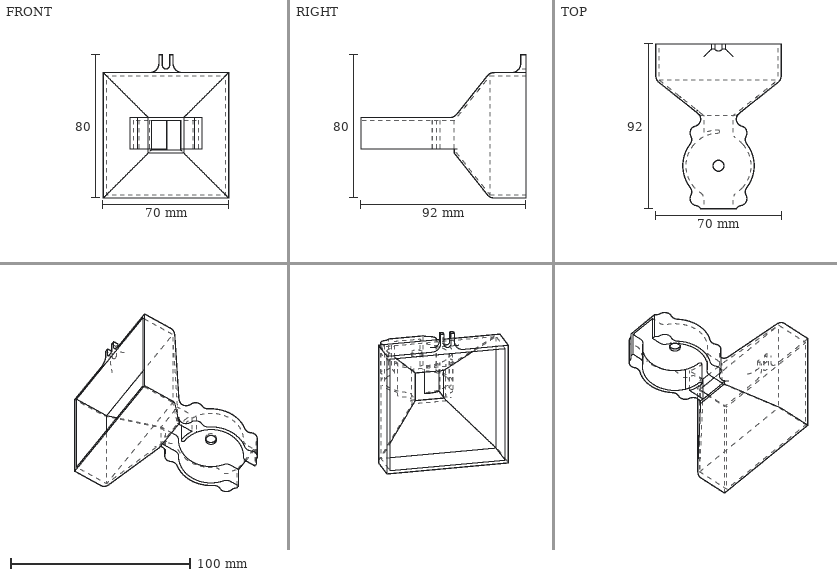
import cadquery as cq
import math

body_width = 70.0
body_depth = 20.15
tip_width = 20.0
tip_y = -40.0
wall = 1.8
fillet_radius = 5.0

front_y = -92.0
housing_y = -68.0
housing_height = 17.8
housing_radius = 20.0
hole_diameter = 6.0
lobe_radius = 4.0
lobe_x = 12.0
lobe_offset_y = 18.3
waist_radius = 4.0
shoulder_radius = 4.0
baffle_end_x = -0.4

lug_height = 10.0
lug_width = 8.0
lug_depth = 3.0
lug_flare = 5.0
lug_slot_width = 4.0
lug_slot_floor = 2.0

body_half = body_width / 2
tip_half = tip_width / 2
tip_inner_half = tip_half - wall
housing_top = tip_half
housing_bottom = housing_top - housing_height
housing_inner_radius = housing_radius - wall

taper_angle = math.atan2(body_half - tip_half, -body_depth - tip_y)
setback = fillet_radius * math.tan(taper_angle / 2)


def point_on(center, radius, angle):
    """Point on a circle at an angle counted from the first axis."""
    return (center[0] + radius * math.cos(angle), center[1] + radius * math.sin(angle))


def angle_of(start, end):
    return math.atan2(end[1] - start[1], end[0] - start[0])


def circle_crossing(center_a, radius_a, center_b, radius_b):
    """Crossing of two circles that lies to the right of the direction from a to b."""
    distance = math.dist(center_a, center_b)
    turn = math.acos((radius_a**2 + distance**2 - radius_b**2) / (2 * radius_a * distance))
    return point_on(center_a, radius_a, angle_of(center_a, center_b) - turn)


def between(start, end, distance):
    """Point at the given distance from start towards end."""
    return point_on(start, distance, angle_of(start, end))


def arc_to(sketch, center, radius, middle_angle, end):
    """Continue the sketch along a circle, past the given angle, to the end point."""
    return sketch.threePointArc(point_on(center, radius, middle_angle), end)


def hood():
    """Square hood: one outline with rounded shoulders, swept along Z and along X."""
    shoulder_y = -body_depth + setback
    shoulder_center = (body_half - fillet_radius, shoulder_y)
    middle_x, middle_y = point_on(shoulder_center, fillet_radius, -taper_angle / 2)
    end_x, end_y = point_on(shoulder_center, fillet_radius, -taper_angle)
    upright = (
        cq.Workplane("XY")
        .moveTo(body_half, 0)
        .lineTo(body_half, shoulder_y)
        .threePointArc((middle_x, middle_y), (end_x, end_y))
        .lineTo(tip_half, tip_y)
        .lineTo(-tip_half, tip_y)
        .lineTo(-end_x, end_y)
        .threePointArc((-middle_x, middle_y), (-body_half, shoulder_y))
        .lineTo(-body_half, 0)
        .close()
        .extrude(body_half, both=True)
    )
    sideways = upright.rotate((0, 0, 0), (0, 1, 0), 90)
    return upright.intersect(sideways)


def hood_cavity():
    inner_width = body_width - 2 * wall
    inner_tip_width = 2 * tip_inner_half
    back_plane = cq.Workplane("XZ")
    straight = back_plane.rect(inner_width, inner_width).extrude(body_depth)
    taper = (
        back_plane.workplane(offset=body_depth)
        .rect(inner_width, inner_width)
        .workplane(offset=-tip_y - body_depth)
        .rect(inner_tip_width, inner_tip_width)
        .loft(ruled=True)
    )
    return straight.union(taper)


neck_fillet_y = tip_y - setback
neck_fillet_center = (tip_half + fillet_radius, neck_fillet_y)
neck_end_angle = math.pi - taper_angle
neck_end = point_on(neck_fillet_center, fillet_radius, neck_end_angle)


def housing_half_plan():
    """Plan of the +X half of the housing, from the front edge to the tapered hood face."""
    axis = (0, housing_y)
    front_lobe = (lobe_x, housing_y - lobe_offset_y)
    back_lobe = (lobe_x, housing_y + lobe_offset_y)

    waist_reach = housing_radius + waist_radius
    lobe_reach = lobe_radius + waist_radius
    back_waist = circle_crossing(axis, waist_reach, back_lobe, lobe_reach)
    front_waist = (back_waist[0], 2 * housing_y - back_waist[1])

    front_corner = (tip_half, front_y)
    shoulder_reach = lobe_radius + shoulder_radius
    front_shoulder = circle_crossing(front_corner, shoulder_radius, front_lobe, shoulder_reach)
    back_shoulder_x = tip_half + shoulder_radius
    back_shoulder_dy = math.sqrt(shoulder_reach**2 - (back_shoulder_x - lobe_x) ** 2)
    back_shoulder = (back_shoulder_x, back_lobe[1] + back_shoulder_dy)

    neck_start = circle_crossing(neck_fillet_center, fillet_radius, back_shoulder, shoulder_radius)
    neck_start_angle = angle_of(neck_fillet_center, neck_start)
    neck_middle_angle = (neck_start_angle % (2 * math.pi) + neck_end_angle) / 2

    plan = cq.Workplane("XY").moveTo(0, front_y).lineTo(*front_corner)
    front_lobe_start = between(front_lobe, front_shoulder, lobe_radius)
    front_shoulder_middle_angle = math.radians(135)
    plan = arc_to(plan, front_shoulder, shoulder_radius, front_shoulder_middle_angle, front_lobe_start)
    plan = arc_to(plan, front_lobe, lobe_radius, 0, between(front_lobe, front_waist, lobe_radius))
    plan = arc_to(plan, front_waist, waist_radius, math.pi, between(axis, front_waist, housing_radius))
    plan = arc_to(plan, axis, housing_radius, 0, between(axis, back_waist, housing_radius))
    plan = arc_to(plan, back_waist, waist_radius, math.pi, between(back_lobe, back_waist, lobe_radius))
    plan = arc_to(plan, back_lobe, lobe_radius, 0, between(back_lobe, back_shoulder, lobe_radius))
    plan = arc_to(plan, back_shoulder, shoulder_radius, math.pi, neck_start)
    plan = arc_to(plan, neck_fillet_center, fillet_radius, neck_middle_angle, neck_end)
    return plan.lineTo(0, neck_end[1]).close()


def housing_side():
    """Side outline of the housing, with a fillet where its top meets the hood."""
    middle = point_on(neck_fillet_center, fillet_radius, (math.pi + neck_end_angle) / 2)
    return (
        cq.Workplane("YZ")
        .moveTo(front_y, housing_bottom)
        .lineTo(front_y, housing_top)
        .lineTo(neck_fillet_y, housing_top)
        .threePointArc((middle[1], middle[0]), (neck_end[1], neck_end[0]))
        .lineTo(neck_end[1], housing_bottom)
        .close()
    )


def housing():
    """Solid common to the plan swept along Z and the side outline swept along X, mirrored to the -X half."""
    upright = housing_half_plan().extrude(body_half, both=True)
    sideways = housing_side().extrude(body_half, both=True)
    half = upright.intersect(sideways)
    return half.union(half.mirror("YZ"))


def housing_cavity():
    """Round chamber blending into a straight channel, open at the bottom, plus the hole above it."""
    depth = housing_height - wall
    base = cq.Workplane("XY").workplane(offset=housing_bottom)
    chamber = base.center(0, housing_y).circle(housing_inner_radius).extrude(depth)
    channel_center_y = (front_y + tip_y) / 2
    channel = base.center(0, channel_center_y).rect(2 * tip_inner_half, tip_y - front_y).extrude(depth)
    hole = base.center(0, housing_y).circle(hole_diameter / 2).extrude(housing_height)
    corner_box = cq.selectors.BoxSelector(
        (-tip_half, housing_y - housing_inner_radius, housing_bottom),
        (tip_half, housing_y + housing_inner_radius, housing_top),
    )
    cavity = chamber.union(channel).edges("|Z").edges(corner_box).fillet(lobe_radius)
    return cavity.union(hole)


def baffle():
    """Stretch of the chamber wall that closes the -X half of the neck, with a rounded end."""
    middle_radius = housing_radius - wall / 2
    end_angle = math.acos(baffle_end_x / middle_radius)
    start_angle = math.pi - math.acos(tip_half / housing_radius)
    middle_angle = (start_angle + end_angle) / 2
    round_center = point_on((0, 0), middle_radius, end_angle)
    return (
        cq.Workplane("XY", origin=(0, housing_y, housing_bottom))
        .moveTo(*point_on((0, 0), housing_radius, start_angle))
        .threePointArc(
            point_on((0, 0), housing_radius, middle_angle),
            point_on((0, 0), housing_radius, end_angle),
        )
        .threePointArc(
            point_on(round_center, wall / 2, end_angle - math.pi / 2),
            point_on((0, 0), housing_inner_radius, end_angle),
        )
        .threePointArc(
            point_on((0, 0), housing_inner_radius, middle_angle),
            point_on((0, 0), housing_inner_radius, start_angle),
        )
        .close()
        .extrude(housing_height)
    )


def lug():
    """Fork with two prongs whose foot flares out to the front and to both sides."""
    flare_height = body_half + lug_flare
    top = body_half + lug_height
    flare_middle = lug_flare * (1 - math.cos(math.pi / 4))
    half = lug_width / 2
    foot_half = half + lug_flare
    foot_depth = lug_depth + lug_flare
    middle_z = body_half + flare_middle
    front = (
        cq.Workplane("XZ")
        .moveTo(-foot_half, body_half)
        .threePointArc((-half - flare_middle, middle_z), (-half, flare_height))
        .lineTo(-half, top)
        .lineTo(half, top)
        .lineTo(half, flare_height)
        .threePointArc((half + flare_middle, middle_z), (foot_half, body_half))
        .close()
        .extrude(body_depth)
    )
    side = (
        cq.Workplane("YZ")
        .moveTo(0, body_half)
        .lineTo(0, top)
        .lineTo(-lug_depth, top)
        .lineTo(-lug_depth, flare_height)
        .threePointArc((-lug_depth - flare_middle, middle_z), (-foot_depth, body_half))
        .close()
        .extrude(foot_half, both=True)
    )
    slot_radius = lug_slot_width / 2
    slot_floor = body_half + lug_slot_floor
    slot = (
        cq.Workplane("XZ")
        .moveTo(-slot_radius, top)
        .lineTo(-slot_radius, slot_floor + slot_radius)
        .threePointArc((0, slot_floor), (slot_radius, slot_floor + slot_radius))
        .lineTo(slot_radius, top)
        .close()
        .extrude(body_depth)
    )
    return front.intersect(side).cut(slot)


shell = hood().union(housing()).cut(hood_cavity()).cut(housing_cavity())
result = shell.union(baffle()).union(lug())